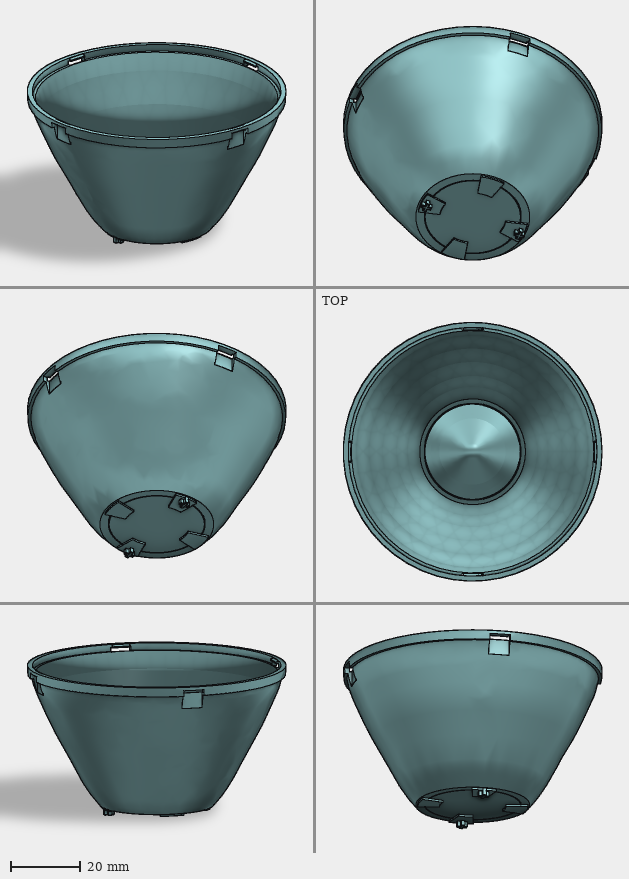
import cadquery as cq

total_height = 43.35
pad_bottom = 1.65
base_height = 2.25
rim_height = 2.7
rim_bottom = total_height - rim_height
ledge_height = 41.3

quarter_turns = [0, 90, 180, 270]
window_width = 6.1
window_top = total_height - 1.0
window_bottom = 36.75
window_face_radius = 35.3
cutter_radius = 41.25
untrimmed_angle = 20.0

rim_radius = 37.5
rim_bottom_radius = 37.35
rim_inner_radius = 36.0
shell_base_radius = 16.5
shell_curve = [
    (22.05, 10.0),
    (26.3, 18.1),
    (30.1, 24.9),
    (33.5, 32.4),
    (35.4, window_bottom),
    (36.45, rim_bottom),
]
bore_radius = 14.0
bore_lip_top = 2.9
mirror_circles = [
    (15.3, bore_lip_top),
    (18.75, 6.9),
    (21.9, 11.8),
    (25.95, 19.1),
    (29.85, 27.15),
    (33.5, 36.15),
    (35.1, ledge_height),
]

tooth_width = 5.4
tooth_root_radius = (rim_radius + rim_inner_radius) / 2
tooth_nose_radius = window_face_radius
tooth_nose_top = 42.75
tooth_ramp_top = 43.2

lens_radius = 13.8
lens_edge_height = 8.25
lens_shoulder_radius = 12.1
lens_shoulder_height = 10.0
lens_cone_radius = 9.6
lens_cone_height = 12.75
lens_apex_height = 19.65

pad_inner_radius = lens_cone_radius
pad_outer_radius = 16.0
pad_angle = 26.0
pin_width = 3.0
pin_arm_width = 1.05
pin_tip_chamfer = 0.2
pin_circle_radius = pad_outer_radius - pin_width / 2
pin_angles = [90, 270]


def make_outer_form():
    """Solid bowl with the curved outside and the rim."""
    return (
        cq.Workplane("XZ")
        .moveTo(0, base_height)
        .lineTo(shell_base_radius, base_height)
        .spline(shell_curve, includeCurrent=True)
        .lineTo(rim_bottom_radius, rim_bottom)
        .lineTo(rim_radius, total_height)
        .lineTo(0, total_height)
        .close()
        .revolve(360, (0, 0, 0), (0, 1, 0))
    )


def make_cavity():
    """Space inside the reflector: bore, conical mirror bands, ledge and rim opening."""
    return (
        cq.Workplane("XZ")
        .moveTo(0, base_height)
        .lineTo(bore_radius, base_height)
        .lineTo(bore_radius, bore_lip_top)
        .polyline(mirror_circles, includeCurrent=True)
        .lineTo(rim_inner_radius, ledge_height)
        .lineTo(rim_inner_radius, total_height)
        .lineTo(0, total_height)
        .close()
        .revolve(360, (0, 0, 0), (0, 1, 0))
    )


def make_straight_sided_sector(section, width, angle):
    """Revolve a (radius, height) section about Z and trim it to straight parallel sides."""
    sector = (
        cq.Workplane("XZ")
        .polyline(section)
        .close()
        .revolve(untrimmed_angle, (0, 0, 0), (0, 1, 0))
        .rotate((0, 0, 0), (0, 0, 1), -untrimmed_angle / 2)
    )
    straight_bar = cq.Workplane("XY").box(4 * rim_radius, width, 4 * rim_radius)
    return sector.intersect(straight_bar).rotate((0, 0, 0), (0, 0, 1), angle)


def make_window_cutter(angle):
    """Cutter that opens the rim above the ledge and recesses the wall below it."""
    section = [
        (window_face_radius, window_bottom),
        (cutter_radius, window_bottom),
        (cutter_radius, window_top),
        (window_face_radius, window_top),
    ]
    return make_straight_sided_sector(section, window_width, angle)


def make_snap_tooth(angle):
    """Tooth inside the rim over a window, with a sloped lead-in on top."""
    section = [
        (tooth_root_radius, window_top),
        (tooth_root_radius, tooth_ramp_top),
        (rim_inner_radius, tooth_ramp_top),
        (tooth_nose_radius, tooth_nose_top),
        (tooth_nose_radius, window_top),
    ]
    return make_straight_sided_sector(section, tooth_width, angle)


def make_reflector():
    reflector = make_outer_form()
    for angle in quarter_turns:
        reflector = reflector.cut(make_window_cutter(angle))
    reflector = reflector.cut(make_cavity())
    for angle in quarter_turns:
        reflector = reflector.union(make_snap_tooth(angle))
    return reflector


def make_lens_dome():
    """Solid lens with a conical centre and two steeper outer bands."""
    return (
        cq.Workplane("XZ")
        .moveTo(0, base_height)
        .lineTo(lens_radius, base_height)
        .lineTo(lens_radius, lens_edge_height)
        .lineTo(lens_shoulder_radius, lens_shoulder_height)
        .lineTo(lens_cone_radius, lens_cone_height)
        .lineTo(0, lens_apex_height)
        .close()
        .revolve(360, (0, 0, 0), (0, 1, 0))
    )


def make_pad(angle):
    """Ring-sector pad under the lens that reaches out below the reflector base."""
    return (
        cq.Workplane("XZ")
        .moveTo(pad_inner_radius, pad_bottom)
        .lineTo(pad_outer_radius, pad_bottom)
        .lineTo(pad_outer_radius, base_height)
        .lineTo(pad_inner_radius, base_height)
        .close()
        .revolve(pad_angle, (0, 0, 0), (0, 1, 0))
        .rotate((0, 0, 0), (0, 0, 1), angle - pad_angle / 2)
    )


def make_pin(angle):
    """Cross-shaped locating pin with chamfered tip edges."""
    pin = cq.Workplane("XY").rect(pin_width, pin_arm_width).extrude(base_height)
    cross_arm = cq.Workplane("XY").rect(pin_arm_width, pin_width).extrude(base_height)
    return (
        pin.union(cross_arm)
        .faces("<Z")
        .edges()
        .chamfer(pin_tip_chamfer)
        .translate((pin_circle_radius, 0, 0))
        .rotate((0, 0, 0), (0, 0, 1), angle)
    )


def make_lens():
    lens = make_lens_dome()
    for angle in quarter_turns:
        lens = lens.union(make_pad(angle))
    for angle in pin_angles:
        lens = lens.union(make_pin(angle))
    return lens


reflector = make_reflector().solids()
lens = make_lens().solids()

result = cq.Compound.makeCompound([reflector.val(), lens.val()])